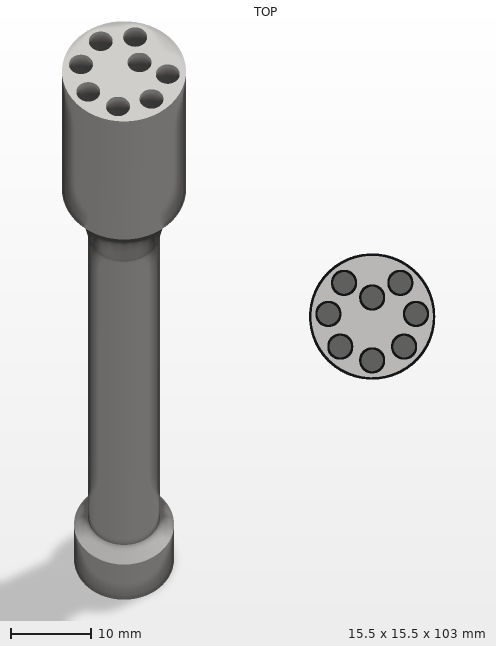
import cadquery as cq
import math

total_length = 103
head_diameter = 15.5

shaft_diameter = 9.0
foot_diameter = 12.5
foot_straight_height = 7.4
neck_top_diameter = foot_diameter
neck_height = 9.1
head_height = 24.9
foot_chamfer = (foot_diameter - shaft_diameter) / 2

socket_diameter = 3.0
socket_depth = 10.3
socket_ring_radius = 5.5
socket_ring_count = 7
socket_pitch_angle = 46.7
ring_middle_angle = -90
inner_socket_offset = 2.4

shoulder_top_z = foot_straight_height + foot_chamfer
head_bottom_z = total_length - head_height
neck_bottom_z = head_bottom_z - neck_height


def make_body():
    """Revolve the half outline of the stepped shaft about the Z axis."""
    return (
        cq.Workplane("XZ")
        .moveTo(0, 0)
        .lineTo(foot_diameter / 2, 0)
        .lineTo(foot_diameter / 2, foot_straight_height)
        .lineTo(shaft_diameter / 2, shoulder_top_z)
        .lineTo(shaft_diameter / 2, neck_bottom_z)
        .lineTo(neck_top_diameter / 2, head_bottom_z)
        .lineTo(head_diameter / 2, head_bottom_z)
        .lineTo(head_diameter / 2, total_length)
        .lineTo(0, total_length)
        .close()
        .revolve(360, (0, 0, 0), (0, 1, 0))
    )


def socket_centres():
    """Inner socket, then the open ring centred on -Y with its wider gap towards +Y."""
    centres = [(0, inner_socket_offset)]
    for index in range(socket_ring_count):
        steps_from_middle = index - (socket_ring_count - 1) / 2
        angle = math.radians(ring_middle_angle + steps_from_middle * socket_pitch_angle)
        x = socket_ring_radius * math.cos(angle)
        y = socket_ring_radius * math.sin(angle)
        centres.append((x, y))
    return centres


def make_sockets():
    """Blind round holes sunk from the top face."""
    return (
        cq.Workplane("XY")
        .workplane(offset=total_length)
        .pushPoints(socket_centres())
        .circle(socket_diameter / 2)
        .extrude(-socket_depth)
    )


result = make_body().cut(make_sockets())